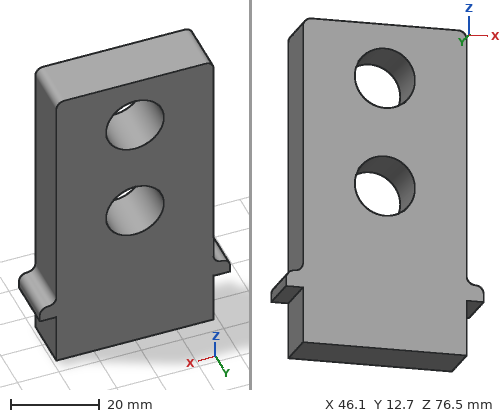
import cadquery as cq

height = 76.45
thickness = 12.7
overall_width = 46.1
round_radius = 2.0
lug_bottom = 12.9
lug_edge_height = 1.8
hole_diameter = 14.0
hole_spacing = 25.4
top_hole_z = height - thickness

half_overall = overall_width / 2
half_body = half_overall - 2 * round_radius
lug_edge_top = lug_bottom + lug_edge_height
lug_shelf = lug_edge_top + round_radius


def make_body():
    """Upright plate with rounded top corners, centred on X and Y."""
    plate = cq.Workplane("XY").box(
        2 * half_body, thickness, height, centered=(True, True, False)
    )
    return plate.edges("|Y and >Z").fillet(round_radius)


def make_lug():
    """Side lug on +X whose top blends into the plate with an S-curve."""
    shelf_x = half_body + round_radius
    return (
        cq.Workplane("XZ")
        .moveTo(0, lug_bottom)
        .lineTo(half_overall, lug_bottom)
        .lineTo(half_overall, lug_edge_top)
        .radiusArc((shelf_x, lug_shelf), -round_radius)
        .radiusArc((half_body, lug_shelf + round_radius), round_radius)
        .lineTo(0, lug_shelf + round_radius)
        .close()
        .extrude(thickness / 2, both=True)
    )


def make_holes():
    """Two through holes on the vertical centreline."""
    return (
        cq.Workplane("XZ")
        .pushPoints([(0, top_hole_z), (0, top_hole_z - hole_spacing)])
        .circle(hole_diameter / 2)
        .extrude(thickness, both=True)
    )


lug = make_lug()
result = make_body().union(lug).union(lug.mirror("YZ")).cut(make_holes())